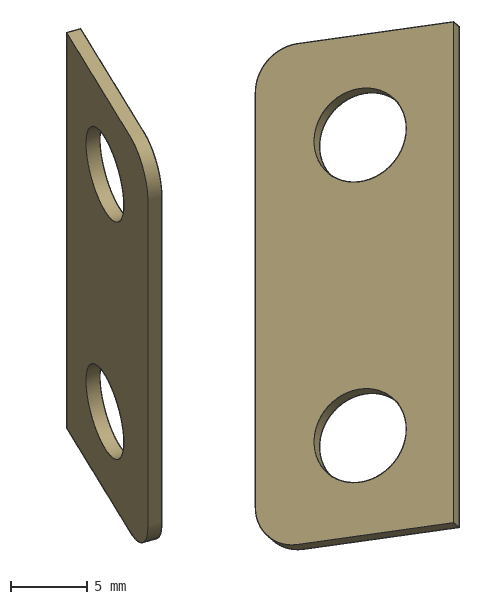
import cadquery as cq

width = 14.0
thickness = 1.0
height = 35.0
corner_radius = 3.0

hole_diameter = 6.5
hole_spacing = 21.0
hole_from_square_edge = 6.6


def make_plate():
    """Flat plate with its square edge at X = 0 and rounded corners on the +X side."""
    plate = cq.Workplane("XY").box(width, thickness, height, centered=(False, True, True))
    return plate.edges("|Y and >X").fillet(corner_radius)


def drill_holes(plate):
    """Drill both holes along Y, from the -Y face through the full thickness."""
    half_spacing = hole_spacing / 2
    centers = [(hole_from_square_edge, -half_spacing), (hole_from_square_edge, half_spacing)]
    front_face = plate.faces("<Y").workplane(centerOption="ProjectedOrigin", origin=(0, 0, 0))
    return front_face.pushPoints(centers).hole(hole_diameter)


result = drill_holes(make_plate())